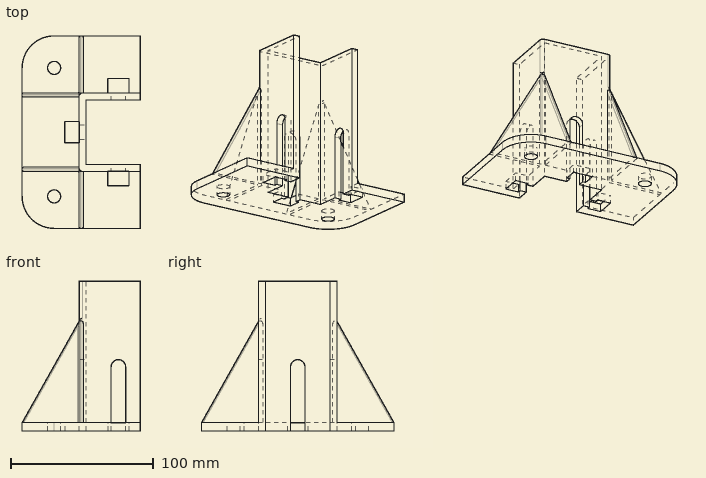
import cadquery as cq
import math

plate_length = 135.0
plate_depth = 83.0
plate_thickness = 6.0
plate_corner_radius = 22.5
bolt_hole_diameter = 9.0

part_height = 105.0
bay_width = 45.0
wall = 5.0
post_corner_radius = 2.5
post_width = bay_width + 2 * wall
post_half_width = post_width / 2
flange_width = (plate_length - post_width) / 2
post_front = flange_width
bay_front = post_front + wall

slot_centre_x = bay_front + bay_width / 2
slot_width = 10.0
slot_top = 50.0
window_width = 14.7
window_depth = 10.0

rib_thickness = 3.0
rib_setback = 0.1
rib_rise = 71.0
rib_angle = math.atan2(rib_rise, flange_width - rib_setback)
rib_edge_radius = 1.0
rib_root_radius = 1.0


def make_plate():
    blank = cq.Workplane("XY").box(
        plate_depth, plate_length, plate_thickness, centered=(False, True, False)
    )
    blank = blank.edges("|Z and <X").fillet(plate_corner_radius)
    hole_y = plate_length / 2 - plate_corner_radius
    return (
        blank.faces(">Z")
        .workplane(origin=(0, 0, plate_thickness))
        .pushPoints([(plate_corner_radius, hole_y), (plate_corner_radius, -hole_y)])
        .hole(bolt_hole_diameter)
    )


def make_post():
    block = (
        cq.Workplane("XY")
        .box(plate_depth - post_front, post_width, part_height, centered=(False, True, False))
        .translate((post_front, 0, 0))
    )
    return block.edges("|Z and <X").fillet(post_corner_radius)


def make_bay():
    return (
        cq.Workplane("XY")
        .box(plate_depth - bay_front, bay_width, part_height, centered=(False, True, False))
        .translate((bay_front, 0, 0))
    )


def make_rib():
    """Triangular rib rising from X = rib_setback and filling Y = 0 to rib_thickness.

    It runs one rib thickness past the post's front face, so it merges into the rounded corner.
    """
    run = flange_width + rib_thickness - rib_setback
    rib = (
        cq.Workplane("XZ")
        .moveTo(rib_setback, plate_thickness)
        .line(run, 0)
        .line(0, run * math.tan(rib_angle))
        .close()
        .extrude(-rib_thickness)
    )
    slope_edges = cq.selectors.ParallelDirSelector(
        cq.Vector(math.cos(rib_angle), 0, math.sin(rib_angle))
    )
    return rib.edges(slope_edges).fillet(rib_edge_radius)


def make_corner_ribs():
    """The two ribs that meet at the -Y front corner of the post."""
    front_rib = make_rib().translate((0, -post_half_width, 0))
    side_rib = (
        make_rib()
        .mirror("XZ")
        .rotate((0, 0, 0), (0, 0, 1), 90)
        .translate((post_front, -plate_length / 2, 0))
    )
    return front_rib.union(side_rib)


def make_slot_cutter():
    """Slot through a wall whose outer face is X = 0, and the plate window outside that wall."""
    slot_radius = slot_width / 2
    shoulder = slot_top - slot_radius
    slot = (
        cq.Workplane("YZ")
        .moveTo(-slot_radius, 0)
        .lineTo(slot_radius, 0)
        .lineTo(slot_radius, shoulder)
        .threePointArc((0, slot_top), (-slot_radius, shoulder))
        .close()
        .extrude(wall)
    )
    window = (
        cq.Workplane("XY")
        .box(window_depth, window_width, plate_thickness, centered=(False, True, False))
        .translate((-window_depth, 0, 0))
    )
    return slot.union(window)


def round_rib_roots(body):
    """Round the two upright inside corners where a front rib meets a side rib."""
    reach = rib_root_radius
    for side in (-1, 1):
        corner_y = side * post_half_width
        around_corner = cq.selectors.BoxSelector(
            (post_front - reach, corner_y - reach, plate_thickness),
            (post_front + reach, corner_y + reach, part_height),
        )
        body = body.edges("|Z").edges(around_corner).fillet(rib_root_radius)
    return body


def cut_slots(body):
    cutter = make_slot_cutter()
    body = body.cut(cutter.translate((post_front, 0, 0)))
    for side in (-1, 1):
        side_cutter = cutter.rotate((0, 0, 0), (0, 0, 1), -90 * side)
        body = body.cut(side_cutter.translate((slot_centre_x, side * post_half_width, 0)))
    return body


corner_ribs = make_corner_ribs()
bracket = make_plate().union(make_post()).union(corner_ribs).union(corner_ribs.mirror("XZ"))
bracket = bracket.cut(make_bay())
bracket = round_rib_roots(bracket)
result = cut_slots(bracket)